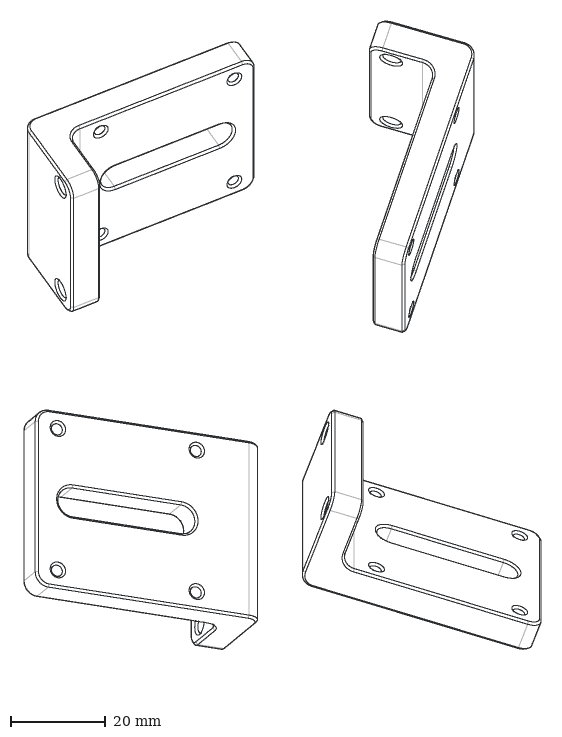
import cadquery as cq

foot_length = 22.0
wall_length = 52.0
height = 40.0
thickness = 7.0
corner_radius = 3.0
edge_chamfer = 0.5

hole_edge_offset = 4.0
foot_hole_end_offset = 5.0
foot_hole_diameter = 4.0
wall_hole_end_offset = 5.0
wall_hole_pitch = 32.0
wall_hole_diameter = 2.5

slot_length = 31.5
slot_width = 6.5

mid_height = height / 2
foot_hole_x = foot_length - foot_hole_end_offset
hole_levels = (hole_edge_offset, height - hole_edge_offset)
wall_hole_far_y = wall_length - wall_hole_end_offset
wall_hole_near_y = wall_hole_far_y - wall_hole_pitch
slot_center_y = (wall_hole_far_y + wall_hole_near_y) / 2


def make_body():
    """L-shaped bracket with rounded bend, rounded free corners and bevelled outline."""
    body = (
        cq.Workplane("XY")
        .polyline([
            (0, 0),
            (foot_length, 0),
            (foot_length, thickness),
            (thickness, thickness),
            (thickness, wall_length),
            (0, wall_length),
        ])
        .close()
        .extrude(height)
    )
    inner_bend = cq.selectors.NearestToPointSelector((thickness, thickness, mid_height))
    outer_bend = cq.selectors.NearestToPointSelector((0, 0, mid_height))
    body = body.edges("|Z").edges(inner_bend).fillet(corner_radius)
    body = body.edges("|Z").edges(outer_bend).fillet(corner_radius)
    body = body.faces(">X").edges("|Y").fillet(corner_radius)
    body = body.faces(">Y").edges("|X").fillet(corner_radius)
    outer_outline = cq.selectors.NearestToPointSelector((0, wall_length, mid_height))
    inner_outline = cq.selectors.NearestToPointSelector((thickness, wall_length, mid_height))
    body = body.edges("|Z").edges(outer_outline).chamfer(edge_chamfer)
    return body.edges("|Z").edges(inner_outline).chamfer(edge_chamfer)


def flared_cutter(core_sketch, mouth_sketch):
    """Straight opening along +Z with a 45-degree flare at both ends."""
    core = core_sketch.extrude(thickness)
    flare = mouth_sketch.extrude(edge_chamfer, taper=45)
    far_flare = flare.mirror("XY").translate((0, 0, thickness))
    return core.union(flare).union(far_flare)


def hole_cutter(diameter):
    """Round through hole with bevelled mouths."""
    return flared_cutter(
        cq.Workplane("XY").circle(diameter / 2),
        cq.Workplane("XY").circle(diameter / 2 + edge_chamfer),
    )


def slot_cutter():
    """Through slot lying along Y with bevelled mouths, pointing along +Z."""
    mouth_growth = 2 * edge_chamfer
    return flared_cutter(
        cq.Workplane("XY").slot2D(slot_length, slot_width, 90),
        cq.Workplane("XY").slot2D(slot_length + mouth_growth, slot_width + mouth_growth, 90),
    )


def point_along_x(cutter):
    """Turn a +Z cutter to +X, keeping its Y direction."""
    return cutter.rotate((0, 0, 0), (0, 1, 0), 90)


def point_along_y(cutter):
    """Turn a +Z cutter to +Y."""
    return cutter.rotate((0, 0, 0), (1, 0, 0), -90)


result = make_body()

foot_hole = point_along_y(hole_cutter(foot_hole_diameter))
wall_hole = point_along_x(hole_cutter(wall_hole_diameter))
for level in hole_levels:
    result = result.cut(foot_hole.translate((foot_hole_x, 0, level)))
    for hole_y in (wall_hole_near_y, wall_hole_far_y):
        result = result.cut(wall_hole.translate((0, hole_y, level)))

slot = point_along_x(slot_cutter())
result = result.cut(slot.translate((0, slot_center_y, mid_height)))